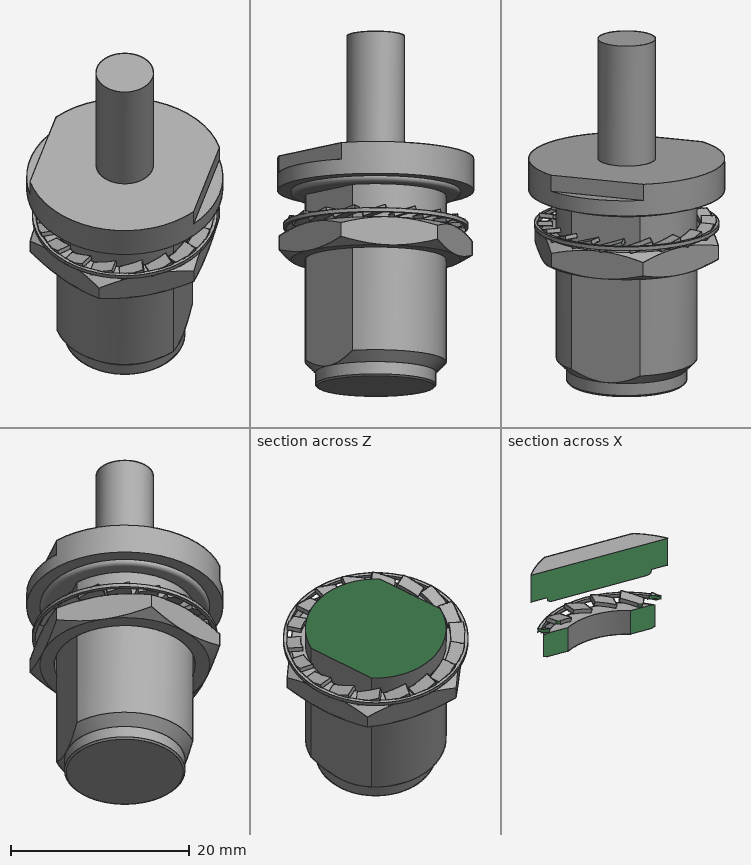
import cadquery as cq
import math

total_height = 39.82
flange_top = 25.9
flange_step = 24.0
flange_bottom = 22.25
boss_bottom = 21.62
barrel_bottom = 1.6

cable_diameter = 6.45
flange_diameter = 22.0
wrench_width = 19.0
boss_fillet = 0.48
barrel_diameter = 15.8
barrel_flat_width = 13.5
collar_chamfer = 0.2
barrel_chamfer = (barrel_diameter - barrel_flat_width) / 2

nut_bottom = 14.4
nut_height = 3.2
nut_top = nut_bottom + nut_height
nut_half_angle = 30.0
nut_corner_radius = wrench_width / 2 / math.cos(math.radians(nut_half_angle))
nut_chamfer_angle = 29.0
nut_chamfer_drop = (nut_corner_radius - wrench_width / 2) * math.tan(math.radians(nut_chamfer_angle))

rim_outer_radius = 10.35
rim_inner_radius = 9.95
rim_thickness = 0.45
tooth_count = 18
tooth_inner_radius = 8.4
tooth_outer_radius = 10.05
tooth_length = 2.7
tooth_thickness = 0.48
tooth_tilt = 18.2
first_tooth_angle = 10.0
tilt = math.radians(tooth_tilt)
washer_height = tooth_length * math.sin(tilt) + tooth_thickness * math.cos(tilt)
washer_middle = nut_top + washer_height / 2


def disc(diameter, bottom, top):
    return cq.Workplane("XY").workplane(offset=bottom).circle(diameter / 2).extrude(top - bottom)


def ring(inner_radius, outer_radius, bottom, height):
    base = cq.Workplane("XY").workplane(offset=bottom)
    return base.circle(outer_radius).circle(inner_radius).extrude(height)


def slab(width, bottom, top):
    """Block of the given X width, long enough in Y to span the whole part."""
    block = cq.Workplane("XY").workplane(offset=bottom)
    return block.rect(width, 2 * flange_diameter).extrude(top - bottom)


def make_flange():
    round_part = disc(flange_diameter, flange_bottom, flange_step)
    flatted_part = disc(flange_diameter, flange_step, flange_top)
    flatted_part = flatted_part.intersect(slab(wrench_width, flange_step, flange_top))
    boss = disc(wrench_width, boss_bottom, flange_bottom).faces("<Z").edges().fillet(boss_fillet)
    return round_part.union(flatted_part).union(boss)


def make_barrel():
    barrel = disc(barrel_diameter, barrel_bottom, flange_bottom)
    barrel = barrel.faces("<Z").edges().chamfer(barrel_chamfer)
    barrel = barrel.intersect(slab(barrel_flat_width, barrel_bottom, flange_bottom))
    collar = disc(barrel_flat_width, 0, barrel_bottom).faces("<Z").edges().chamfer(collar_chamfer)
    return barrel.union(collar)


def make_nut():
    """Hexagon with conical corners; its round bore leaves gaps beside the barrel flats."""
    hexagon = (
        cq.Workplane("XY")
        .workplane(offset=nut_bottom)
        .polygon(6, 2 * nut_corner_radius)
        .extrude(nut_height)
        .rotate((0, 0, 0), (0, 0, 1), nut_half_angle)
    )
    corner_cones = (
        cq.Workplane("XZ")
        .moveTo(0, nut_bottom)
        .lineTo(wrench_width / 2, nut_bottom)
        .lineTo(nut_corner_radius, nut_bottom + nut_chamfer_drop)
        .lineTo(nut_corner_radius, nut_top - nut_chamfer_drop)
        .lineTo(wrench_width / 2, nut_top)
        .lineTo(0, nut_top)
        .close()
        .revolve(360, (0, 0, 0), (0, 1, 0))
    )
    bore = disc(barrel_diameter, nut_bottom, nut_top)
    return hexagon.intersect(corner_cones).cut(bore)


def make_connector_body():
    cable = disc(cable_diameter, flange_top, total_height)
    return make_flange().union(cable).union(make_barrel()).union(make_nut())


def make_tooth():
    """One tooth centred on +X: a flat plate tilted to rise counterclockwise, cut to the ring width."""
    plate = (
        cq.Workplane("XY")
        .box(tooth_outer_radius, tooth_length, tooth_thickness, centered=(False, True, True))
        .rotate((0, 0, 0), (1, 0, 0), tooth_tilt)
        .translate((0, 0, washer_middle))
    )
    return plate.intersect(ring(tooth_inner_radius, tooth_outer_radius, nut_top, washer_height))


def make_lock_washer():
    rim_bottom = washer_middle - rim_thickness / 2
    washer = ring(rim_inner_radius, rim_outer_radius, rim_bottom, rim_thickness)
    tooth = make_tooth()
    for index in range(tooth_count):
        angle = first_tooth_angle + index * 360 / tooth_count
        washer = washer.union(tooth.rotate((0, 0, 0), (0, 0, 1), angle))
    return washer


connector_body = make_connector_body()
lock_washer = make_lock_washer()

result = cq.Compound.makeCompound([connector_body.val(), lock_washer.val()])